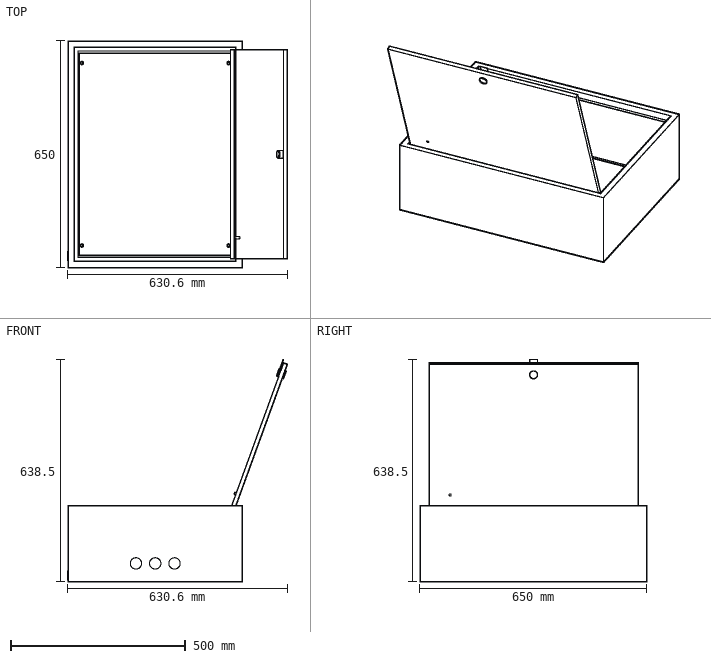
import cadquery as cq
import math

BOX_X = 500.0
BOX_Y = 650.0
BOX_Z = 220.0
SHEET = 1.5
RIM_WIDTH = 19.5
LIP_DEPTH = 19.0
LEDGE_WIDTH = 10.0

ENTRY_DIAMETER = 32.5
ENTRY_PITCH = 55.0
ENTRY_Z = 54.0
ENTRY_COUNT = 3

TERMINAL_Y = -291.0
TERMINAL_Z = 19.0
TERMINAL_DIAMETER = 25.5
TERMINAL_THICKNESS = 0.5
TERMINAL_HEX = 15.0
TERMINAL_HEX_THICKNESS = 0.3
TERMINAL_TIP_DIAMETER = 6.5
TERMINAL_TIP = 0.3

PLATE_X = 437.0
PLATE_Y = 581.0
PLATE_Z = 16.0

SCREW_PITCH_X = 420.0
SCREW_PITCH_Y = 522.5
SCREW_DIAMETER = 6.0
SCREW_HEX = 10.0
SCREW_HEAD = 4.0
SCREW_TIP = 4.0

DOOR_LENGTH = 446.0
DOOR_Y = 600.0
DOOR_DEPTH = 12.5
DOOR_TILT = 20.0
DOOR_DROP = 14.0

STUD_Y = -239.0
STUD_HEIGHT = 47.0
STUD_DIAMETER = 6.5
STUD_LENGTH = 17.0

LATCH_TOP_GAP = 32.0
BARREL_DIAMETER = 21.5
BAR_WIDTH = 23.0
BAR_THICKNESS = 1.6
BAR_OFFSET = 15.5
BAR_RISE = 40.0
HEAD_DIAMETER = 23.5
HEAD_THICKNESS = 3.0
NUT_DIAMETER = 21.0
NUT_THICKNESS = 2.0

opening_x = BOX_X - 2 * RIM_WIDTH
opening_y = BOX_Y - 2 * RIM_WIDTH
latch_height = DOOR_LENGTH - LATCH_TOP_GAP


def block(size_x, size_y, bottom, top):
    """Upright block centred on the Z axis."""
    return cq.Workplane("XY").workplane(offset=bottom).rect(size_x, size_y).extrude(top - bottom)


def rod_x(x_start, x_end, y, z, diameter):
    """Round bar along X."""
    return cq.Workplane("YZ", origin=(x_start, y, z)).circle(diameter / 2).extrude(x_end - x_start)


def make_housing():
    ledge_top = BOX_Z - LIP_DEPTH
    ledge_bottom = ledge_top - SHEET

    box = block(BOX_X, BOX_Y, 0, BOX_Z)
    inside = block(BOX_X - 2 * SHEET, BOX_Y - 2 * SHEET, SHEET, BOX_Z)
    box = box.cut(inside)

    rim = block(BOX_X, BOX_Y, BOX_Z - SHEET, BOX_Z)
    lip = block(opening_x + 2 * SHEET, opening_y + 2 * SHEET, ledge_bottom, BOX_Z)
    recess = block(opening_x, opening_y, ledge_top, BOX_Z)
    mouth = block(opening_x - 2 * LEDGE_WIDTH, opening_y - 2 * LEDGE_WIDTH, ledge_bottom, BOX_Z)
    housing = box.union(rim.union(lip).cut(recess).cut(mouth))

    entries = (
        cq.Workplane("XZ", origin=(0, -BOX_Y / 2 + SHEET, ENTRY_Z))
        .rarray(ENTRY_PITCH, 6.5, ENTRY_COUNT, 1)
        .circle(ENTRY_DIAMETER / 2)
        .extrude(SHEET)
    )
    housing = housing.cut(entries)

    pad_x = -BOX_X / 2 - TERMINAL_THICKNESS
    pad = rod_x(pad_x, -BOX_X / 2, TERMINAL_Y, TERMINAL_Z, TERMINAL_DIAMETER)
    nut = (
        cq.Workplane("YZ", origin=(pad_x, TERMINAL_Y, TERMINAL_Z))
        .polygon(6, TERMINAL_HEX)
        .extrude(-TERMINAL_HEX_THICKNESS)
    )
    nut_x = pad_x - TERMINAL_HEX_THICKNESS
    tip = rod_x(nut_x - TERMINAL_TIP, nut_x, TERMINAL_Y, TERMINAL_Z, TERMINAL_TIP_DIAMETER)
    return housing.union(pad).union(nut).union(tip)


def make_plate():
    bottom = SHEET
    top = SHEET + PLATE_Z
    plate = block(PLATE_X, PLATE_Y, bottom, top)
    plate = plate.cut(block(PLATE_X - 2 * SHEET, PLATE_Y - 2 * SHEET, bottom, top - SHEET))
    holes = (
        cq.Workplane("XY")
        .workplane(offset=bottom)
        .rarray(SCREW_PITCH_X, SCREW_PITCH_Y, 2, 2)
        .circle(SCREW_DIAMETER / 2)
        .extrude(PLATE_Z)
    )
    return plate.cut(holes)


def make_screw(x, y):
    plate_top = SHEET + PLATE_Z
    head_top = plate_top + SCREW_HEAD
    shank = (
        cq.Workplane("XY", origin=(x, y, SHEET))
        .circle(SCREW_DIAMETER / 2)
        .extrude(head_top + SCREW_TIP - SHEET)
    )
    head = (
        cq.Workplane("XY", origin=(x, y, plate_top))
        .polygon(6, SCREW_HEX, circumscribed=True)
        .extrude(SCREW_HEAD)
    )
    return shank.union(head)


def hang(body):
    """Move a body from the upright door frame to the open door.

    In the upright frame the door's outer face lies at X = 0 and its lower edge at Z = 0.
    The panel's inner face ends up level with the inner edge of the housing rim.
    """
    tilt = math.radians(DOOR_TILT)
    outer_face_x = opening_x / 2 + SHEET / math.cos(tilt)
    lower_edge = (outer_face_x - DOOR_DROP * math.tan(tilt), 0, BOX_Z - DOOR_DROP)
    return body.rotate((0, 0, 0), (0, 1, 0), DOOR_TILT).translate(lower_edge)


def make_door():
    door = block(DOOR_DEPTH, DOOR_Y, 0, DOOR_LENGTH).translate((-DOOR_DEPTH / 2, 0, 0))
    door = door.faces("<X").shell(-SHEET)
    stud = rod_x(-STUD_LENGTH, -SHEET, STUD_Y, STUD_HEIGHT, STUD_DIAMETER)
    barrel_hole = rod_x(-SHEET, 0, 0, latch_height, BARREL_DIAMETER)
    return hang(door.union(stud).cut(barrel_hole))


def make_latch():
    bar_back = -BAR_OFFSET - BAR_THICKNESS
    barrel = rod_x(-BAR_OFFSET, 0, 0, latch_height, BARREL_DIAMETER)
    head = rod_x(0, HEAD_THICKNESS, 0, latch_height, HEAD_DIAMETER)
    nut = rod_x(bar_back - NUT_THICKNESS, bar_back, 0, latch_height, NUT_DIAMETER)
    bar = (
        cq.Workplane("YZ", origin=(bar_back, 0, latch_height))
        .moveTo(-BAR_WIDTH / 2, 0)
        .lineTo(-BAR_WIDTH / 2, BAR_RISE)
        .lineTo(BAR_WIDTH / 2, BAR_RISE)
        .lineTo(BAR_WIDTH / 2, 0)
        .threePointArc((0, -BAR_WIDTH / 2), (-BAR_WIDTH / 2, 0))
        .close()
        .extrude(BAR_THICKNESS)
    )
    return hang(barrel.union(head).union(bar).union(nut))


door = make_door()
latch = make_latch()
housing = make_housing().cut(door)
plate = make_plate()
screws = [
    make_screw(side_x * SCREW_PITCH_X / 2, side_y * SCREW_PITCH_Y / 2)
    for side_x in (-1, 1)
    for side_y in (-1, 1)
]

result = cq.Compound.makeCompound(
    [housing.val(), plate.val(), *[screw.val() for screw in screws], door.val(), latch.val()]
)